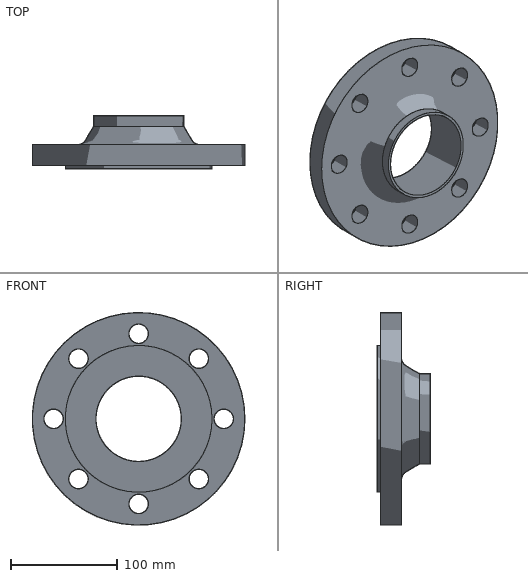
import cadquery as cq
import math

flange_diameter = 200.0
flange_thickness = 20.0
raised_face_diameter = 138.0
raised_face_height = 3.0
overall_length = 50.0
bore_diameter = 80.0
neck_diameter = 85.0
neck_straight_length = 10.0
hub_base_diameter = 105.0
hub_fillet_radius = 8.0
bolt_circle_diameter = 160.0
bolt_hole_diameter = 18.0
bolt_hole_count = 8

flange_front = raised_face_height
flange_back = flange_front + flange_thickness
cone_end = overall_length - neck_straight_length


def hub_fillet_points():
    """Start, middle and end of the arc blending the flange back face into the cone."""
    base_radius = hub_base_diameter / 2
    cone_angle = math.atan2(cone_end - flange_back, neck_diameter / 2 - base_radius)
    tangent_length = hub_fillet_radius * math.tan((math.pi - cone_angle) / 2)
    centre_r = base_radius + tangent_length
    centre_y = flange_back + hub_fillet_radius
    middle_angle = -math.pi / 2 - (math.pi - cone_angle) / 2
    start = (centre_r, flange_back)
    middle = (
        centre_r + hub_fillet_radius * math.cos(middle_angle),
        centre_y + hub_fillet_radius * math.sin(middle_angle),
    )
    end = (
        base_radius + tangent_length * math.cos(cone_angle),
        flange_back + tangent_length * math.sin(cone_angle),
    )
    return start, middle, end


def make_body():
    """Revolve the half section (radius along X) about the Y axis."""
    bore_radius = bore_diameter / 2
    flange_radius = flange_diameter / 2
    raised_face_radius = raised_face_diameter / 2
    neck_radius = neck_diameter / 2
    fillet_start, fillet_middle, fillet_end = hub_fillet_points()
    section = (
        cq.Workplane("XY")
        .moveTo(bore_radius, 0)
        .lineTo(raised_face_radius, 0)
        .lineTo(raised_face_radius, flange_front)
        .lineTo(flange_radius, flange_front)
        .lineTo(flange_radius, flange_back)
        .lineTo(*fillet_start)
        .threePointArc(fillet_middle, fillet_end)
        .lineTo(neck_radius, cone_end)
        .lineTo(neck_radius, overall_length)
        .lineTo(bore_radius, overall_length)
        .close()
    )
    return section.revolve(360, (0, 0, 0), (0, 1, 0))


def make_bolt_holes():
    """Through-hole cutters on the bolt circle, the first one on the X axis."""
    return (
        cq.Workplane("XZ")
        .polarArray(bolt_circle_diameter / 2, 0, 360, bolt_hole_count)
        .circle(bolt_hole_diameter / 2)
        .extrude(-overall_length)
    )


result = make_body().cut(make_bolt_holes())